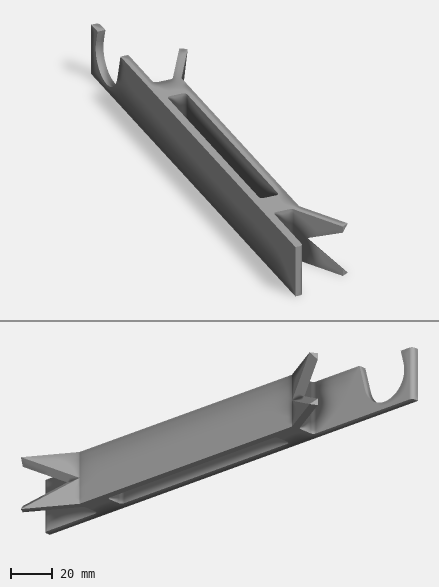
import cadquery as cq
import math

length = 240.0
depth = 32.5
width = 27.0

wall = 4.0
inner_radius = 1.7
plate_end_radius = 2.0

bar_center_x = 134.6
bar_back_y = 18.0
post_half_span = 70.0
slot_half_length = 55.0

arm_angle = math.radians(30)
arm_root_half_span = 69.0

hook_radius = 13.0
hook_center_x = 18.2
hook_center_z = 16.5
hook_tilt = 15.0


def make_plate():
    plate = cq.Workplane("XY").box(length, wall, width, centered=False)
    return plate.edges("|Z and >Y").fillet(plate_end_radius)


def make_frame():
    """Posts, bar and flared arms as one symmetric outline."""
    rise = depth - bar_back_y
    tip_x = arm_root_half_span + rise / math.tan(arm_angle)
    inner_tip_x = tip_x + wall * math.sin(arm_angle)
    inner_tip_y = depth - wall * math.cos(arm_angle)
    inner_root_y = inner_tip_y - (inner_tip_x - post_half_span) * math.tan(arm_angle)
    right_half = [
        (post_half_span, 0),
        (post_half_span, inner_root_y),
        (inner_tip_x, inner_tip_y),
        (tip_x, depth),
        (arm_root_half_span, bar_back_y),
    ]
    left_half = [(-x, y) for x, y in reversed(right_half)]
    outline = cq.Workplane("XY").polyline(right_half + left_half).close()
    return outline.extrude(width).translate((bar_center_x, 0, 0))


def round_post_corners(body):
    """Round the plate and arm corners on the outer face of each post."""
    margin = 0.2
    for side in (-1, 1):
        x = bar_center_x + side * post_half_span
        corners = cq.selectors.BoxSelector(
            (x - margin, wall - margin, 0),
            (x + margin, bar_back_y, width),
        )
        body = body.edges("|Z").edges(corners).fillet(inner_radius)
    return body


def make_slot():
    slot = cq.Workplane("XY").box(
        2 * slot_half_length, bar_back_y - 2 * wall, width, centered=(True, False, False)
    )
    return slot.edges("|Z").fillet(inner_radius).translate((bar_center_x, wall, 0))


def make_arm_notch():
    """V through both arms, closing at the back of the bar."""
    notch = cq.Workplane("YZ").polyline([(depth, 0), (bar_back_y, width / 2), (depth, width)])
    return notch.close().extrude(length)


def make_hook_opening():
    """Round seat with two parallel sides leading out through the top edge."""
    reach = 2 * width
    seat = cq.Workplane("XY").circle(hook_radius).extrude(wall)
    throat = cq.Workplane("XY").rect(2 * hook_radius, reach).extrude(wall)
    opening = seat.union(throat.translate((0, reach / 2, 0)))
    opening = opening.rotate((0, 0, 0), (0, 0, 1), -hook_tilt)
    opening = opening.rotate((0, 0, 0), (1, 0, 0), 90)
    return opening.translate((hook_center_x, wall, hook_center_z))


body = round_post_corners(make_plate().union(make_frame()))
result = body.cut(make_slot()).cut(make_arm_notch()).cut(make_hook_opening())